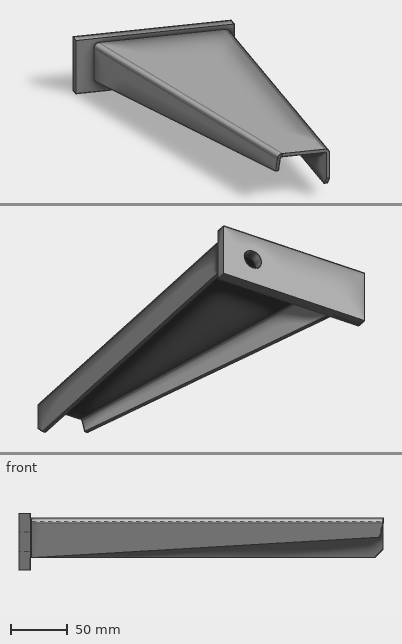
import cadquery as cq
import math

plate_thickness = 10.0
plate_width = 145.0
plate_height = 50.0
hole_diameter = 17.5
hole_edge_distance = 30.0

arm_end_x = 320.0
arm_top_z = 21.0
arm_back_y = 68.5
arm_height = 35.0
root_width = 125.0
tip_width = 48.0
sheet_thickness = 3.0
bend_radius = 4.5
neutral_fraction = 0.4
back_chamfer = 7.5
front_tip_height = 17.0

inner_radius = bend_radius - sheet_thickness
neutral_radius = inner_radius + neutral_fraction * sheet_thickness
arm_bottom_z = arm_top_z - arm_height
arm_length = arm_end_x - plate_thickness
web_back_y = arm_back_y - bend_radius

taper_angle = math.atan((root_width - tip_width) / arm_length)
taper_tan = math.tan(taper_angle)
fold_length = arm_length / math.cos(taper_angle)
bend_offset_y = bend_radius / math.cos(taper_angle)
web_front_root_y = arm_back_y - root_width + bend_offset_y
web_front_tip_y = arm_back_y - tip_width + bend_offset_y


def fold(start, direction, outward, length):
    """Bend and flange: the section runs outward, then down, and follows the fold line."""
    diagonal = math.sqrt(0.5)

    def arc_middle(radius):
        return (radius * diagonal, bend_radius - radius * diagonal)

    return (
        cq.Workplane(cq.Plane(origin=start, xDir=outward, normal=direction))
        .threePointArc(arc_middle(bend_radius), (bend_radius, bend_radius))
        .lineTo(bend_radius, arm_height)
        .lineTo(inner_radius, arm_height)
        .lineTo(inner_radius, bend_radius)
        .threePointArc(arc_middle(inner_radius), (0, sheet_thickness))
        .close()
        .extrude(length)
    )


def make_plate():
    plate = cq.Workplane("XY").box(
        plate_thickness, plate_width, plate_height, centered=(False, True, True)
    )
    hole = (
        cq.Workplane("YZ")
        .center(plate_width / 2 - hole_edge_distance, 0)
        .circle(hole_diameter / 2)
        .extrude(plate_thickness)
    )
    return plate.cut(hole)


def make_web():
    return (
        cq.Workplane("XY", origin=(0, 0, arm_top_z - sheet_thickness))
        .moveTo(plate_thickness, web_back_y)
        .lineTo(arm_end_x, web_back_y)
        .lineTo(arm_end_x, web_front_tip_y)
        .lineTo(plate_thickness, web_front_root_y)
        .close()
        .extrude(sheet_thickness)
    )


def make_back_flange():
    start = (arm_end_x, web_back_y, arm_top_z)
    flange = fold(start, (-1, 0, 0), (0, 1, 0), arm_length)
    corner = (
        cq.Workplane("XZ", origin=(0, web_back_y, 0))
        .moveTo(arm_end_x, arm_bottom_z)
        .lineTo(arm_end_x, arm_bottom_z + back_chamfer)
        .lineTo(arm_end_x - back_chamfer, arm_bottom_z)
        .close()
        .extrude(-bend_radius)
    )
    return flange.cut(corner)


def make_front_flange():
    start = (plate_thickness, web_front_root_y, arm_top_z)
    direction = (math.cos(taper_angle), math.sin(taper_angle), 0)
    outward = (math.sin(taper_angle), -math.cos(taper_angle), 0)
    flange = fold(start, direction, outward, fold_length)

    def tip_edge(bend_angle):
        return (
            fold_length - neutral_radius * bend_angle * taper_tan,
            -bend_radius * (1 - math.cos(bend_angle)),
        )

    full_bend = math.pi / 2
    curve_steps = 8
    bend_points = [tip_edge(full_bend * step / curve_steps) for step in range(1, curve_steps + 1)]
    unfolded_tip = neutral_radius * full_bend + front_tip_height - bend_radius
    outline = (
        cq.Workplane(cq.Plane(origin=start, xDir=direction, normal=outward))
        .lineTo(fold_length, 0)
        .spline(bend_points, includeCurrent=True)
        .lineTo(fold_length - unfolded_tip * taper_tan, -front_tip_height)
        .lineTo(0, -arm_height)
        .close()
        .extrude(bend_radius)
    )
    return flange.intersect(outline)


plate = make_plate()
arm = make_web().union(make_back_flange()).union(make_front_flange())

result = cq.Compound.makeCompound([plate.val(), arm.solids().val()])